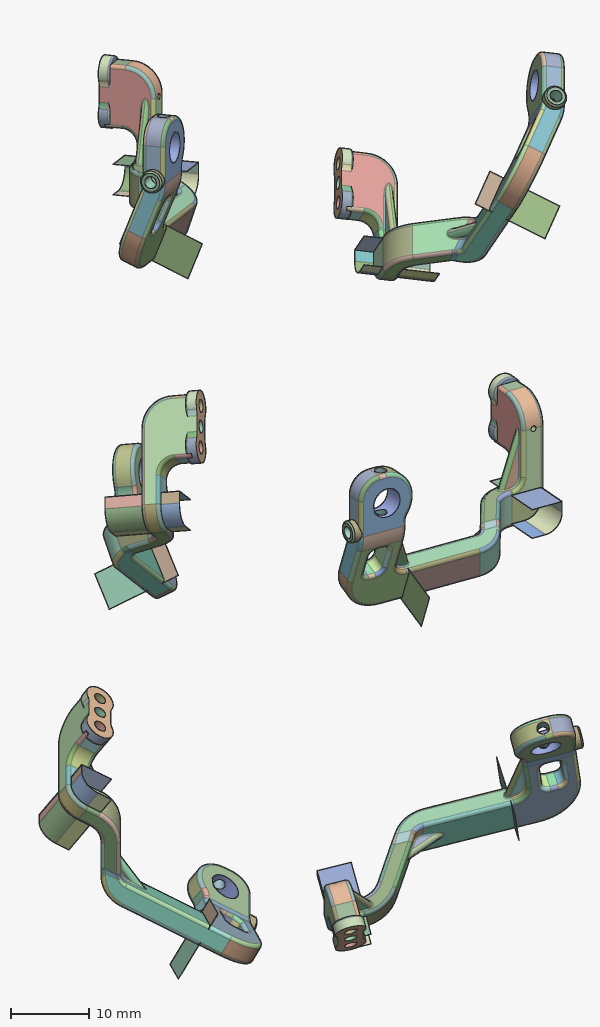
import cadquery as cq
import math


EDGE_ROUND = 0.5
LEG_THICKNESS = 2.5
PLATE_THICKNESS = 3.0
CLEARANCE = 0.37
COLUMN_OVERLAP = 0.05
REACH = 74.8
SHEET = 0.05

PAD_RADIUS = 2.02
PAD_PITCH = 2.73
PAD_THICKNESS = 1.5
PAD_BACK_ROUND = 0.22
PAD_WAIST_ROUND = 2.0
PAD_HOLE_RADIUS = 0.82
PAD_HOLE_DEPTH = 2.5
PAD_THROUGH_RADIUS = 0.37
HALF_WIDTH = 1.65
HEAD_TOP = 4.05
HEAD_BOTTOM = -4.35
HEAD_INNER_RADIUS = 2.0

COLUMN_LEFT = 5.0
COLUMN_RIGHT = COLUMN_LEFT + LEG_THICKNESS
HEAD_OUTER_RADIUS = 4.0
LEG_TOP = -8.08
LEG_BOTTOM = -13.13
COLUMN_FOOT_RADIUS = 3.0
COLUMN_INNER_RADIUS = 1.5
TURN_START = -3.25
TURN_RADIUS = 3.2
TURN_ANGLE = 57.0

TILT = 22.0
BEND_RADIUS = 3.0
BEND_X = 14.45
BEND_Z = -1.35
PLATE_TOP = -6.45
PLATE_BOTTOM = -11.65
TOP_FOLD_RADIUS = 3.75
BOTTOM_FOLD_RADIUS = 1.5
OUTER_TURN_RADIUS = 5.0
INNER_TURN_RADIUS = 1.5
PLATE_END = -34.37
PLATE_INNER = -27.4
PLATE_FOOT_RADIUS = 6.0
PLATE_INNER_RADIUS = 2.0

EYE_Y = -30.37
EYE_Z = 2.55
EYE_RADIUS = 4.05
EYE_HOLE_RADIUS = 2.0
EYE_CORNER_RADIUS = 3.0
EYE_NECK_RADIUS = 2.0
CROSS_HOLE_RADIUS = 0.8

SLOT_WIDTH = 3.0
SLOT_HEIGHT = 4.97
SLOT_CORNER = 0.97
SLOT_MIDDLE = -3.03
BOSS_RADIUS = 1.45
BOSS_LENGTH = 1.0
BOSS_CHAMFER = 0.22
BOSS_Z = -0.95
BOSS_HOLE_DEPTH = 2.5

COLUMN_RIB_WIDTH = 1.0
COLUMN_RIB_TOP = 0.0
COLUMN_RIB_FOOT = -4.5
PLATE_RIB_WIDTH = 1.0
PLATE_RIB_FOOT = -24.55
TURN_RIB_WIDTH = 1.35
TURN_RIB_START = (11.52, -10.65, -10.3)
TURN_RIB_ROOT = (14.77, -12.5, -10.75)
TURN_RIB_END_Y = -15.82
TURN_RIB_V = -9.4
RIB_ROOT_DEPTH = 0.75
RIB_FOOT_ROUND = 0.2
RIB_EDGE_ROUND = 0.49
RIB_OVERLAP = 1.12

SHEET_LENGTH = 10.0
NEAR_SHEET_Y = -25.1
NEAR_SHEET_LEFT_U = 1.1
NEAR_SHEET_HEIGHT = 5.2
FAR_SHEET_LEFT = 2.5
FAR_SHEET_FRONT = -3.35

DRILL_HALF_ANGLE = 59.0

COS_TILT = math.cos(math.radians(TILT))
SIN_TILT = math.sin(math.radians(TILT))
SIN_TURN = math.sin(math.radians(TURN_ANGLE))
COS_TURN = math.cos(math.radians(TURN_ANGLE))

PLATE_LEFT_U = BEND_RADIUS
PLATE_RIGHT_U = BEND_RADIUS + PLATE_THICKNESS
EYE_LEFT_X = BEND_X + BEND_RADIUS
EYE_MIDDLE_X = EYE_LEFT_X + PLATE_THICKNESS / 2
PLATE_MIDDLE_Y = (PLATE_END + PLATE_INNER) / 2


def tilted(u, v):
    """X and Z of a point given across (u) and up (v) the tilted plate from the bend centre."""
    return (BEND_X + u * COS_TILT + v * SIN_TILT, BEND_Z - u * SIN_TILT + v * COS_TILT)


def plate_point(u, y, v):
    x, z = tilted(u, v)
    return (x, y, z)


def plate_plane(u):
    """Plane parallel to the tilted plate: local x is Y, local y runs up the plate."""
    x, z = tilted(u, 0)
    return cq.Plane(origin=(x, 0, z), xDir=(0, 1, 0), normal=(COS_TILT, 0, -SIN_TILT))


def nearest_edge(point):
    """Selector for the edge nearest a point; a fillet on it runs on round all tangent edges."""
    return cq.selectors.NearestToPointSelector(point)


def behind_leg(leg_x, turn_radius, plate_u, corner_radius):
    """Everything on the -X side of one face of the wall: column, oblique leg, tilted plate."""
    turn_centre_x = COLUMN_RIGHT + TURN_RADIUS
    middle = math.radians(TURN_ANGLE / 2)
    turn_mid = (turn_centre_x - turn_radius * math.cos(middle), TURN_START - turn_radius * math.sin(middle))
    turn_end = (turn_centre_x - turn_radius * COS_TURN, TURN_START - turn_radius * SIN_TURN)
    far_end = (turn_end[0] + REACH * SIN_TURN, turn_end[1] - REACH * COS_TURN)
    plan = (
        cq.Workplane("XY", origin=(0, 0, -REACH / 2))
        .moveTo(leg_x, REACH / 2)
        .lineTo(leg_x, TURN_START)
        .threePointArc(turn_mid, turn_end)
        .lineTo(*far_end)
        .lineTo(far_end[0], -REACH * 2)
        .lineTo(-REACH, -REACH * 2)
        .lineTo(-REACH, REACH / 2)
        .close()
        .extrude(REACH)
    )
    block = cq.Workplane(plate_plane(plate_u)).rect(4 * REACH, 4 * REACH).extrude(-4 * REACH)
    corner_x, corner_z = tilted(plate_u, PLATE_TOP)
    corner_y = turn_end[1] - (corner_x - turn_end[0]) * COS_TURN / SIN_TURN
    region = plan.intersect(block)
    return region.edges(nearest_edge((corner_x, corner_y, corner_z))).fillet(corner_radius)


def wall():
    outer = behind_leg(COLUMN_RIGHT, TURN_RADIUS, PLATE_RIGHT_U, OUTER_TURN_RADIUS)
    inner = behind_leg(COLUMN_LEFT, TURN_RADIUS + LEG_THICKNESS, PLATE_LEFT_U, INNER_TURN_RADIUS)
    return outer.cut(inner)


def fold_x(leg_z, v):
    """X where the level face at leg_z meets the tilted face at height v up the plate."""
    u = (BEND_Z - leg_z + v * COS_TILT) / SIN_TILT
    return tilted(u, v)[0]


def side_region():
    """Heights taken up by the legs and the two columns, before trimming to the wall."""
    right_u = PLATE_RIGHT_U + CLEARANCE
    band_end = PLATE_INNER + PLATE_INNER_RADIUS
    top_fold = fold_x(LEG_TOP, PLATE_TOP)
    bottom_fold = fold_x(LEG_BOTTOM, PLATE_BOTTOM)
    band = (
        cq.Workplane("XZ", origin=(0, HALF_WIDTH, 0))
        .moveTo(0, LEG_TOP)
        .lineTo(top_fold, LEG_TOP)
        .lineTo(*tilted(right_u, PLATE_TOP))
        .lineTo(*tilted(right_u, PLATE_BOTTOM))
        .lineTo(bottom_fold, LEG_BOTTOM)
        .lineTo(0, LEG_BOTTOM)
        .close()
        .extrude(HALF_WIDTH - band_end)
    )
    fold_y = (HALF_WIDTH + band_end) / 2
    band = band.edges(nearest_edge((top_fold, fold_y, LEG_TOP))).fillet(TOP_FOLD_RADIUS)
    band = band.edges(nearest_edge((bottom_fold, fold_y, LEG_BOTTOM))).fillet(BOTTOM_FOLD_RADIUS)
    band = band.edges(nearest_edge((COLUMN_LEFT, HALF_WIDTH, LEG_BOTTOM))).fillet(COLUMN_FOOT_RADIUS)

    far_column = (
        cq.Workplane("YZ")
        .moveTo(HALF_WIDTH, LEG_TOP - CLEARANCE)
        .lineTo(HALF_WIDTH, HEAD_BOTTOM)
        .lineTo(-HALF_WIDTH, HEAD_BOTTOM)
        .lineTo(-HALF_WIDTH, LEG_TOP + COLUMN_INNER_RADIUS)
        .radiusArc((-HALF_WIDTH - COLUMN_INNER_RADIUS, LEG_TOP), COLUMN_INNER_RADIUS)
        .lineTo(-HALF_WIDTH - COLUMN_INNER_RADIUS, LEG_TOP - CLEARANCE)
        .close()
        .extrude(COLUMN_RIGHT + CLEARANCE)
    )
    near_column = (
        cq.Workplane(plate_plane(PLATE_LEFT_U - COLUMN_OVERLAP))
        .moveTo(PLATE_END, PLATE_BOTTOM + PLATE_FOOT_RADIUS)
        .lineTo(PLATE_END, 0)
        .lineTo(PLATE_INNER, 0)
        .lineTo(PLATE_INNER, PLATE_TOP + PLATE_INNER_RADIUS)
        .radiusArc((band_end, PLATE_TOP), -PLATE_INNER_RADIUS)
        .lineTo(band_end, PLATE_BOTTOM)
        .lineTo(PLATE_END + PLATE_FOOT_RADIUS, PLATE_BOTTOM)
        .radiusArc((PLATE_END, PLATE_BOTTOM + PLATE_FOOT_RADIUS), PLATE_FOOT_RADIUS)
        .close()
        .extrude(PLATE_THICKNESS + 2 * CLEARANCE)
    )
    return band.union(far_column).union(near_column)


def head():
    """Upright block that carries the pad, curving down into the far column."""
    outer_turn = HEAD_OUTER_RADIUS * (1 - math.sqrt(0.5))
    inner_turn = HEAD_INNER_RADIUS * (1 - math.sqrt(0.5))
    inner_left = COLUMN_LEFT - HEAD_INNER_RADIUS
    return (
        cq.Workplane("XZ", origin=(0, HALF_WIDTH, 0))
        .moveTo(PAD_THICKNESS / 2, HEAD_TOP)
        .lineTo(COLUMN_RIGHT - HEAD_OUTER_RADIUS, HEAD_TOP)
        .threePointArc(
            (COLUMN_RIGHT - outer_turn, HEAD_TOP - outer_turn),
            (COLUMN_RIGHT, HEAD_TOP - HEAD_OUTER_RADIUS),
        )
        .lineTo(COLUMN_RIGHT, HEAD_BOTTOM - HEAD_INNER_RADIUS)
        .lineTo(COLUMN_LEFT, HEAD_BOTTOM - HEAD_INNER_RADIUS)
        .threePointArc(
            (COLUMN_LEFT - inner_turn, HEAD_BOTTOM - inner_turn),
            (inner_left, HEAD_BOTTOM),
        )
        .lineTo(PAD_THICKNESS / 2, HEAD_BOTTOM)
        .close()
        .extrude(2 * HALF_WIDTH)
    )


def bend():
    """Round bend between the tilted plate and the upright eye plate."""
    return (
        cq.Workplane("XY", origin=(BEND_X, 0, BEND_Z))
        .moveTo(PLATE_LEFT_U, PLATE_END)
        .lineTo(PLATE_RIGHT_U, PLATE_END)
        .lineTo(PLATE_RIGHT_U, PLATE_INNER)
        .lineTo(PLATE_LEFT_U, PLATE_INNER)
        .close()
        .revolve(TILT, (0, 0, 0), (0, 1, 0))
    )


def eye():
    """Upright plate with the large eye, necked in on one side and straight on the other."""
    neck_y = PLATE_INNER + EYE_NECK_RADIUS
    centre_distance = EYE_RADIUS + EYE_NECK_RADIUS
    neck_drop = math.sqrt(centre_distance**2 - (neck_y - EYE_Y) ** 2)
    meet = EYE_RADIUS / centre_distance
    meet_point = (EYE_Y + meet * (neck_y - EYE_Y), EYE_Z - meet * neck_drop)
    top = EYE_Z + EYE_RADIUS
    diagonal = EYE_RADIUS * math.sqrt(0.5)
    return (
        cq.Workplane("YZ", origin=(EYE_LEFT_X, 0, 0))
        .moveTo(PLATE_INNER, BEND_Z)
        .lineTo(PLATE_INNER, EYE_Z - neck_drop)
        .radiusArc(meet_point, EYE_NECK_RADIUS)
        .threePointArc((EYE_Y + diagonal, EYE_Z + diagonal), (EYE_Y, top))
        .lineTo(PLATE_END + EYE_CORNER_RADIUS, top)
        .radiusArc((PLATE_END, top - EYE_CORNER_RADIUS), -EYE_CORNER_RADIUS)
        .lineTo(PLATE_END, BEND_Z)
        .close()
        .extrude(PLATE_THICKNESS)
    )


def rib(start, end, root, width):
    """Triangular rib between two surface points, with its free edge fully rounded."""
    first, last, inside = cq.Vector(*start), cq.Vector(*end), cq.Vector(*root)
    along = (last - first).normalized()
    normal = along.cross(inside - first).normalized()
    first = first - along * RIB_OVERLAP
    last = last + along * RIB_OVERLAP
    plane = cq.Plane(origin=first - normal * (width / 2), xDir=along, normal=normal)
    corners = [plane.toLocalCoords(corner) for corner in (first, last, inside)]
    body = cq.Workplane(plane).polyline([(corner.x, corner.y) for corner in corners]).close().extrude(width)
    middle = (first + last) * 0.5
    for side in (-1, 1):
        edge_point = (middle + normal * (side * width / 2)).toTuple()
        body = body.edges(nearest_edge(edge_point)).fillet(RIB_EDGE_ROUND * width)
    return body


def add_rib(body, start, end, root, width, side_point):
    """Join a rib and blend its foot; side_point lies near one side of that foot."""
    joined = body.union(rib(start, end, root, width))
    return joined.edges(nearest_edge(side_point)).fillet(RIB_FOOT_ROUND)


def add_column_rib(body):
    column_x = (COLUMN_LEFT + COLUMN_RIGHT) / 2
    start = (column_x, -HALF_WIDTH, COLUMN_RIB_TOP)
    end = (column_x, COLUMN_RIB_FOOT, LEG_TOP)
    root = (column_x, -HALF_WIDTH + RIB_ROOT_DEPTH, LEG_TOP - RIB_ROOT_DEPTH)
    side_point = (column_x - COLUMN_RIB_WIDTH / 2, -HALF_WIDTH, (COLUMN_RIB_TOP + LEG_TOP) / 2)
    return add_rib(body, start, end, root, COLUMN_RIB_WIDTH, side_point)


def add_plate_rib(body):
    plate_u = (PLATE_LEFT_U + PLATE_RIGHT_U) / 2
    start = plate_point(plate_u, PLATE_INNER, 0)
    end = plate_point(plate_u, PLATE_RIB_FOOT, PLATE_TOP)
    root = plate_point(plate_u, PLATE_INNER - RIB_ROOT_DEPTH, PLATE_TOP - RIB_ROOT_DEPTH)
    side_point = plate_point(plate_u - PLATE_RIB_WIDTH / 2, PLATE_INNER, PLATE_TOP / 2)
    return add_rib(body, start, end, root, PLATE_RIB_WIDTH, side_point)


def add_turn_rib(body):
    end = plate_point(PLATE_LEFT_U, TURN_RIB_END_Y, TURN_RIB_V)
    middle_y = (TURN_RIB_END_Y + TURN_RIB_ROOT[1]) / 2
    side_point = plate_point(PLATE_LEFT_U, middle_y, TURN_RIB_V + TURN_RIB_WIDTH)
    return add_rib(body, TURN_RIB_START, end, TURN_RIB_ROOT, TURN_RIB_WIDTH, side_point)


def pad():
    """Flat pad with two round ends and a narrower waist."""
    plate = cq.Workplane("YZ").rect(2 * HALF_WIDTH, 2 * PAD_PITCH).extrude(PAD_THICKNESS)
    ends = cq.Workplane("YZ").pushPoints([(0, -PAD_PITCH), (0, PAD_PITCH)]).circle(PAD_RADIUS)
    outline = plate.union(ends.extrude(PAD_THICKNESS))
    half_waist = PAD_PITCH - PAD_RADIUS / 4
    waist_box = cq.selectors.BoxSelector(
        (0, -PAD_RADIUS, -half_waist),
        (PAD_THICKNESS, PAD_RADIUS, half_waist),
    )
    outline = outline.edges("|X").edges(waist_box).fillet(PAD_WAIST_ROUND)
    return outline.faces(">X").edges().fillet(PAD_BACK_ROUND)


def drill(radius, depth, point):
    """Hole with a conical bottom, pointing along +X with its mouth centred on the point."""
    tip = radius / math.tan(math.radians(DRILL_HALF_ANGLE))
    corners = [(0, 0), (depth + tip, 0), (depth, radius), (0, radius)]
    half_section = cq.Workplane("XY").polyline(corners).close()
    return half_section.revolve(360, (0, 0, 0), (1, 0, 0)).translate(point)


def pad_holes():
    middle = cq.Workplane("YZ").circle(PAD_HOLE_RADIUS).extrude(PAD_HOLE_DEPTH)
    through = cq.Workplane("YZ").circle(PAD_THROUGH_RADIUS).extrude(COLUMN_RIGHT + CLEARANCE)
    holes = middle.union(through)
    for z in (-PAD_PITCH, PAD_PITCH):
        holes = holes.union(drill(PAD_HOLE_RADIUS, PAD_HOLE_DEPTH, (0, 0, z)))
    return holes


def eye_hole():
    start = cq.Workplane("YZ", origin=(EYE_LEFT_X - CLEARANCE, EYE_Y, EYE_Z))
    return start.circle(EYE_HOLE_RADIUS).extrude(PLATE_THICKNESS + 2 * CLEARANCE)


def cross_hole():
    """Vertical hole through the eye, running on down through the tilted plate."""
    start = cq.Workplane("XY", origin=(EYE_MIDDLE_X, EYE_Y, EYE_Z + EYE_RADIUS + CLEARANCE))
    return start.circle(CROSS_HOLE_RADIUS).extrude(-REACH)


def boss():
    return (
        cq.Workplane("XZ", origin=(EYE_MIDDLE_X, PLATE_END + CLEARANCE, BOSS_Z))
        .circle(BOSS_RADIUS)
        .extrude(BOSS_LENGTH + CLEARANCE)
        .faces("<Y")
        .chamfer(BOSS_CHAMFER)
    )


def boss_hole():
    mouth = PLATE_END - BOSS_LENGTH
    hole = drill(CROSS_HOLE_RADIUS, BOSS_HOLE_DEPTH, (0, 0, 0)).rotate((0, 0, 0), (0, 0, 1), 90)
    return hole.translate((EYE_MIDDLE_X, mouth, BOSS_Z))


def slot():
    outline = cq.Sketch().rect(SLOT_WIDTH, SLOT_HEIGHT).vertices().fillet(SLOT_CORNER)
    return (
        cq.Workplane(plate_plane(PLATE_LEFT_U - CLEARANCE))
        .center(PLATE_MIDDLE_Y, SLOT_MIDDLE)
        .placeSketch(outline)
        .extrude(PLATE_THICKNESS + 2 * CLEARANCE)
    )


def near_sheet():
    corner_u = NEAR_SHEET_LEFT_U + SHEET_LENGTH
    top = PLATE_BOTTOM + NEAR_SHEET_HEIGHT
    corners = [
        tilted(NEAR_SHEET_LEFT_U, PLATE_BOTTOM),
        tilted(corner_u, PLATE_BOTTOM),
        tilted(corner_u, top),
        tilted(NEAR_SHEET_LEFT_U, top),
    ]
    return cq.Workplane("XZ", origin=(0, NEAR_SHEET_Y, 0)).polyline(corners).close().extrude(SHEET)


def far_sheet():
    """J-shaped sheet that follows the rounded foot of the far column, one edge round inside it."""
    back = HALF_WIDTH - EDGE_ROUND
    top = LEG_TOP - EDGE_ROUND
    bottom = LEG_BOTTOM + EDGE_ROUND
    radius = COLUMN_FOOT_RADIUS - EDGE_ROUND

    def solid(inset):
        return (
            cq.Workplane("YZ", origin=(FAR_SHEET_LEFT, 0, 0))
            .moveTo(FAR_SHEET_FRONT, top - inset)
            .lineTo(back - inset, top - inset)
            .lineTo(back - inset, bottom + radius)
            .radiusArc((back - radius, bottom + inset), radius - inset)
            .lineTo(FAR_SHEET_FRONT, bottom + inset)
            .close()
            .extrude(SHEET_LENGTH)
        )

    return solid(0).cut(solid(SHEET))


result = wall().intersect(side_region())
result = result.union(head()).union(bend()).union(eye())
for face_x in (EYE_LEFT_X, EYE_LEFT_X + PLATE_THICKNESS):
    result = result.edges(nearest_edge((face_x, PLATE_END, 0))).fillet(EDGE_ROUND)

result = result.cut(slot())
for face_u in (PLATE_LEFT_U, PLATE_RIGHT_U):
    rim_point = plate_point(face_u, PLATE_MIDDLE_Y + SLOT_WIDTH / 2, SLOT_MIDDLE)
    result = result.edges(nearest_edge(rim_point)).fillet(EDGE_ROUND)

result = add_column_rib(result)
result = add_plate_rib(result)
result = add_turn_rib(result)
result = result.union(pad()).union(boss())

result = result.cut(eye_hole()).cut(cross_hole())
result = result.cut(pad_holes()).cut(boss_hole())

result = result.union(near_sheet()).union(far_sheet())